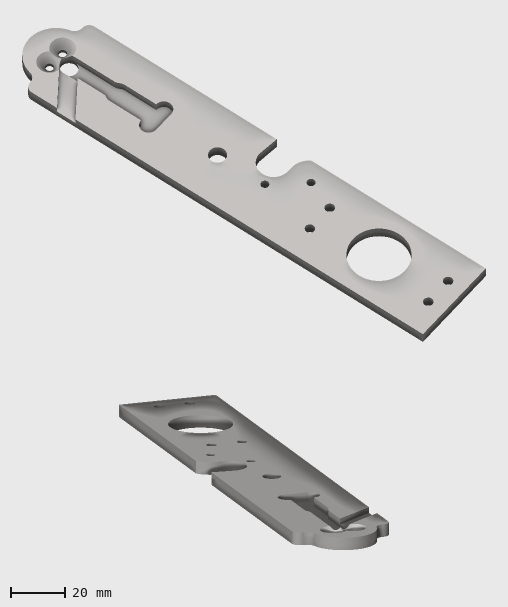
import cadquery as cq
import math

LENGTH = 197.5
WIDTH = 38.0
THICKNESS = 4.77
NOSE_RADIUS = 12.5
NECK_RADIUS = 3.5
SHOULDER_RADIUS = 3.2

HALF_WIDTH = WIDTH / 2
NOSE_END = -NOSE_RADIUS
TAIL_END = LENGTH - NOSE_RADIUS

NOTCH_X = 93.5
NOTCH_Y = 9.8
NOTCH_RADIUS = 6.6
NOTCH_LEFT_LEAN = 1.0
NOTCH_STRAIGHT = 2.2
LEAD_IN_RADIUS = 8.3

PIVOT_DIAMETER = 7.0
PIVOT_X = 6.0
CENTRE_HOLE_X = 75.0
LARGE_BORE_DIAMETER = 24.0
LARGE_BORE_X = 150.0
MOUNT_DIAMETER = 3.83
MOUNT_SPACING_X = 55.0
MOUNT_SPACING_Y = 12.0
SMALL_DIAMETER = 3.3
SMALL_HOLES = [(97.0, 0.0), (110.0, 11.0)]

SCREW_DIAMETER = 3.3
SCREW_HEAD_DIAMETER = 9.8
SCREW_OFFSET_Y = 3.95
COUNTERSINK_ANGLE = 90.0

CHANNEL_WIDTH = PIVOT_DIAMETER
POCKET_DEPTH = 3.4
STEP_START_X = 24.6
STEP_END_X = 28.2
WIDE_CHANNEL_WIDTH = 9.2
HEAD_X = 46.5
HEAD_WIDTH = 7.0
HEAD_LENGTH = 16.2
GROOVE_DEPTH = 2.2
GROOVE_ANGLE = 55.0


def make_plate():
    """Rounded nose blended into the straight arm by a concave and a convex arc on each side."""
    neck_reach = NOSE_RADIUS + NECK_RADIUS
    neck_y = math.sqrt(neck_reach**2 - NECK_RADIUS**2)
    nose_share = NOSE_RADIUS / neck_reach
    tangent_x = -NECK_RADIUS * nose_share
    tangent_y = neck_y * nose_share
    half_turn = math.atan2(neck_y, NECK_RADIUS) / 2
    neck_mid_x = -NECK_RADIUS + NECK_RADIUS * math.cos(half_turn)
    neck_mid_y = neck_y - NECK_RADIUS * math.sin(half_turn)
    shoulder_y = HALF_WIDTH - SHOULDER_RADIUS
    shoulder_inset = SHOULDER_RADIUS * (1 - math.sqrt(0.5))

    return (
        cq.Workplane("XY")
        .moveTo(tangent_x, -tangent_y)
        .threePointArc((NOSE_END, 0), (tangent_x, tangent_y))
        .threePointArc((neck_mid_x, neck_mid_y), (0, neck_y))
        .lineTo(0, shoulder_y)
        .threePointArc((shoulder_inset, HALF_WIDTH - shoulder_inset), (SHOULDER_RADIUS, HALF_WIDTH))
        .lineTo(TAIL_END, HALF_WIDTH)
        .lineTo(TAIL_END, -HALF_WIDTH)
        .lineTo(SHOULDER_RADIUS, -HALF_WIDTH)
        .threePointArc((shoulder_inset, shoulder_inset - HALF_WIDTH), (0, -shoulder_y))
        .lineTo(0, -neck_y)
        .threePointArc((neck_mid_x, -neck_mid_y), (tangent_x, -tangent_y))
        .close()
        .extrude(THICKNESS)
    )


def make_notch():
    """Through cutter for the notch in the +Y edge."""
    left_x = NOTCH_X - NOTCH_RADIUS
    right_x = NOTCH_X + NOTCH_RADIUS
    lead_in_y = NOTCH_Y + NOTCH_STRAIGHT
    lead_in_turn = math.asin((HALF_WIDTH - lead_in_y) / LEAD_IN_RADIUS)

    def lead_in_point(turn):
        x = right_x + LEAD_IN_RADIUS * (1 - math.cos(turn))
        return (x, lead_in_y + LEAD_IN_RADIUS * math.sin(turn))

    return (
        cq.Workplane("XY")
        .moveTo(left_x + NOTCH_LEFT_LEAN, HALF_WIDTH)
        .lineTo(left_x, NOTCH_Y)
        .threePointArc((NOTCH_X, NOTCH_Y - NOTCH_RADIUS), (right_x, NOTCH_Y))
        .lineTo(right_x, lead_in_y)
        .threePointArc(lead_in_point(lead_in_turn / 2), lead_in_point(lead_in_turn))
        .close()
        .extrude(THICKNESS)
    )


def make_pocket():
    """Cutter for the keyed pocket: a channel that widens smoothly and ends in a cross slot."""
    narrow = CHANNEL_WIDTH / 2
    wide = WIDE_CHANNEL_WIDTH / 2
    floor = cq.Workplane("XY").workplane(offset=THICKNESS - POCKET_DEPTH)
    forward = (1, 0)
    backward = (-1, 0)
    channel = (
        floor
        .moveTo(PIVOT_X, narrow)
        .lineTo(STEP_START_X, narrow)
        .spline([(STEP_END_X, wide)], tangents=[forward, forward], includeCurrent=True)
        .lineTo(HEAD_X, wide)
        .lineTo(HEAD_X, -wide)
        .lineTo(STEP_END_X, -wide)
        .spline([(STEP_START_X, -narrow)], tangents=[backward, backward], includeCurrent=True)
        .lineTo(PIVOT_X, -narrow)
        .close()
        .extrude(POCKET_DEPTH)
    )
    head = floor.center(HEAD_X, 0).slot2D(HEAD_LENGTH, HEAD_WIDTH, 90).extrude(POCKET_DEPTH)
    return channel.union(head)


def make_groove():
    """Cutter for the slanted groove, which starts at the pivot hole and runs out of the -Y edge."""
    run = WIDTH
    return (
        cq.Workplane("XY")
        .box(run, CHANNEL_WIDTH, GROOVE_DEPTH, centered=(False, True, False))
        .rotate((0, 0, 0), (0, 0, 1), -GROOVE_ANGLE)
        .translate((PIVOT_X, 0, THICKNESS - GROOVE_DEPTH))
    )


def make_holes(points, diameter):
    """Cutter for equal through holes at the given points."""
    return cq.Workplane("XY").pushPoints(points).circle(diameter / 2).extrude(THICKNESS)


def make_screw_holes():
    """Cutter for the pair of countersunk screw holes in the nose."""
    points = [(0, SCREW_OFFSET_Y), (0, -SCREW_OFFSET_Y)]
    head_radius = SCREW_HEAD_DIAMETER / 2
    sink_depth = (head_radius - SCREW_DIAMETER / 2) / math.tan(math.radians(COUNTERSINK_ANGLE / 2))
    cutter = make_holes(points, SCREW_DIAMETER)
    for x, y in points:
        top = cq.Vector(x, y, THICKNESS)
        cone = cq.Solid.makeCone(head_radius, SCREW_DIAMETER / 2, sink_depth, top, cq.Vector(0, 0, -1))
        cutter = cutter.union(cq.Workplane(cone))
    return cutter


mount_holes = [
    (LARGE_BORE_X + side_x * MOUNT_SPACING_X / 2, side_y * MOUNT_SPACING_Y / 2)
    for side_x in (-1, 1)
    for side_y in (-1, 1)
]

cutters = [
    make_notch(),
    make_pocket(),
    make_groove(),
    make_holes([(PIVOT_X, 0), (CENTRE_HOLE_X, 0)], PIVOT_DIAMETER),
    make_holes([(LARGE_BORE_X, 0)], LARGE_BORE_DIAMETER),
    make_holes(mount_holes, MOUNT_DIAMETER),
    make_holes(SMALL_HOLES, SMALL_DIAMETER),
    make_screw_holes(),
]

result = make_plate()
for cutter in cutters:
    result = result.cut(cutter)